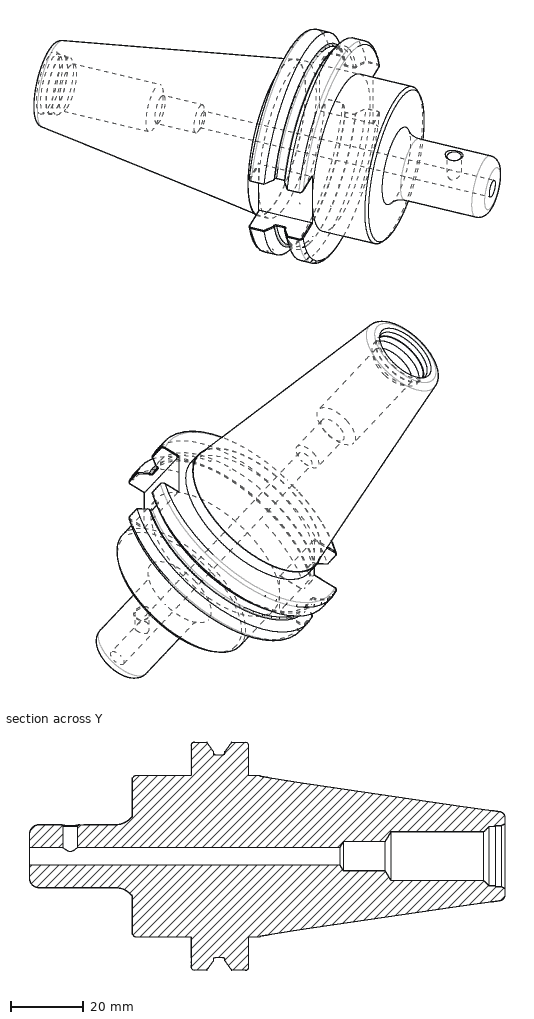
import cadquery as cq
import math

total_length = 131.8

taper_end_x = 67.9
taper_end_radius = 44.4 / 2
rim_round_x = 1.6
rim_outer_radius = 12.4
rim_face_radius = 10.7

flange_start_x = 71.0
flange_end_x = 87.0
flange_radius = 63.4 / 2
flange_edge_round = 0.9
groove_center_x = 79.2
groove_floor_width = 3.0
groove_mouth_width = 6.9
groove_floor_radius = 28.2
groove_floor_round = 0.4
groove_wall_radius = 29.0

collar_radius = 22.4
collar_end_x = 103.3
collar_chamfer = 0.8

pin_radius = 17.5 / 2
neck_end_x = 107.9
neck_arc_radius = 5.8
pin_end_round = 2.8

slot_width = 16.3
slot_edge_chamfer = 0.3
front_slot_floor = collar_radius
back_slot_floor = 24.8

countersunk_mouth_radius = 9.0
mouth_radius = 16.9 / 2
land_radius = 16.3 / 2
thread_radius = 13.5 / 2
drill_radius = 8.0 / 2
coolant_radius = 4.7 / 2
mouth_end_x = 1.0
mouth_bore_end_x = 2.6
land_end_x = 4.5
thread_end_x = 31.6
drill_end_x = 44.8
drill_point_angle = 118.0

pin_hole_x = 120.4
pin_hole_radius = 4.0 / 2
countersink_radius = 2.5


def arc_middle(center_x, center_r, radius, angle):
    """Point on a profile arc, at an angle in degrees measured from +X."""
    turn = math.radians(angle)
    return (center_x + radius * math.cos(turn), center_r + radius * math.sin(turn))


def turn_profile(profile):
    return profile.close().revolve(360, (0, 0, 0), (1, 0, 0))


def make_body():
    rim_arc_radius = rim_outer_radius - rim_face_radius
    rim_middle = arc_middle(rim_arc_radius, rim_face_radius, rim_arc_radius, 135)

    neck_center_r = pin_radius + neck_arc_radius
    neck_run = neck_end_x - collar_end_x
    neck_half_angle = math.degrees(math.asin(neck_run / neck_arc_radius)) / 2
    neck_start_r = neck_center_r - math.sqrt(neck_arc_radius**2 - neck_run**2)
    neck_middle = arc_middle(neck_end_x, neck_center_r, neck_arc_radius, 270 - neck_half_angle)

    round_start_x = total_length - pin_end_round
    pin_face_radius = pin_radius - pin_end_round
    pin_round_middle = arc_middle(round_start_x, pin_face_radius, pin_end_round, 45)

    profile = (
        cq.Workplane("XY")
        .moveTo(0, 0)
        .lineTo(0, rim_face_radius)
        .threePointArc(rim_middle, (rim_round_x, rim_outer_radius))
        .lineTo(taper_end_x, taper_end_radius)
        .lineTo(taper_end_x, collar_radius)
        .lineTo(collar_end_x - collar_chamfer, collar_radius)
        .lineTo(collar_end_x, collar_radius - collar_chamfer)
        .lineTo(collar_end_x, neck_start_r)
        .threePointArc(neck_middle, (neck_end_x, pin_radius))
        .lineTo(round_start_x, pin_radius)
        .threePointArc(pin_round_middle, (total_length, pin_face_radius))
        .lineTo(total_length, 0)
    )
    return turn_profile(profile)


def make_flange():
    disc = (
        cq.Workplane("YZ", origin=(flange_start_x, 0, 0))
        .circle(flange_radius)
        .extrude(flange_end_x - flange_start_x)
        .edges()
        .fillet(flange_edge_round)
    )
    floor_half = groove_floor_width / 2
    mouth_half = groove_mouth_width / 2
    round_top = groove_floor_radius + groove_floor_round
    left_round_x = groove_center_x - floor_half + groove_floor_round
    right_round_x = groove_center_x + floor_half - groove_floor_round
    left_round_middle = arc_middle(left_round_x, round_top, groove_floor_round, 225)
    right_round_middle = arc_middle(right_round_x, round_top, groove_floor_round, 315)
    groove = (
        cq.Workplane("XY")
        .moveTo(left_round_x, groove_floor_radius)
        .threePointArc(left_round_middle, (groove_center_x - floor_half, round_top))
        .lineTo(groove_center_x - floor_half, groove_wall_radius)
        .lineTo(groove_center_x - mouth_half, flange_radius)
        .lineTo(groove_center_x + mouth_half, flange_radius)
        .lineTo(groove_center_x + floor_half, groove_wall_radius)
        .lineTo(groove_center_x + floor_half, round_top)
        .threePointArc(right_round_middle, (right_round_x, groove_floor_radius))
    )
    return disc.cut(turn_profile(groove))


def make_drive_slot(floor_distance, side):
    """Slot cutter outside floor_distance, towards +Y (side = 1) or -Y (side = -1)."""
    depth = flange_radius - floor_distance
    middle_x = (flange_start_x + flange_end_x) / 2
    middle_y = side * (floor_distance + depth / 2)
    return (
        cq.Workplane("XY")
        .box(flange_end_x - flange_start_x, depth, slot_width)
        .translate((middle_x, middle_y, 0))
    )


def make_axial_bore():
    point_slope = math.tan(math.radians(drill_point_angle / 2))
    thread_tip = (thread_radius - drill_radius) / point_slope
    drill_tip = (drill_radius - coolant_radius) / point_slope
    land_cone = land_radius - thread_radius
    profile = (
        cq.Workplane("XY")
        .moveTo(0, 0)
        .lineTo(0, countersunk_mouth_radius)
        .lineTo(mouth_end_x, mouth_radius)
        .lineTo(mouth_bore_end_x, mouth_radius)
        .lineTo(mouth_bore_end_x, land_radius)
        .lineTo(land_end_x, land_radius)
        .lineTo(land_end_x + land_cone, thread_radius)
        .lineTo(thread_end_x, thread_radius)
        .lineTo(thread_end_x + thread_tip, drill_radius)
        .lineTo(drill_end_x, drill_radius)
        .lineTo(drill_end_x + drill_tip, coolant_radius)
        .lineTo(total_length, coolant_radius)
        .lineTo(total_length, 0)
    )
    return turn_profile(profile)


def make_pin_hole():
    """Radial hole from the top of the pin to the axis, with a 45 degree countersink."""
    sink_depth = countersink_radius - pin_hole_radius
    profile = (
        cq.Workplane("XZ")
        .moveTo(0, 0)
        .lineTo(pin_hole_radius, 0)
        .lineTo(pin_hole_radius, pin_radius - sink_depth)
        .lineTo(countersink_radius, pin_radius)
        .lineTo(0, pin_radius)
        .close()
    )
    return profile.revolve(360, (0, 0, 0), (0, 1, 0)).translate((pin_hole_x, 0, 0))


def make_slotted_flange():
    """Flange with both drive slots, its slot wall edges broken except along the slot floors."""
    flange = make_flange()
    flange = flange.cut(make_drive_slot(front_slot_floor, -1))
    flange = flange.cut(make_drive_slot(back_slot_floor, 1))
    walls = [
        face
        for face in flange.faces("|Z").vals()
        if math.isclose(abs(face.Center().z), slot_width / 2, abs_tol=0.0001)
    ]
    slot_floors = (front_slot_floor, back_slot_floor)
    edges = [
        edge
        for wall in walls
        for edge in wall.Edges()
        if not any(math.isclose(abs(edge.Center().y), floor, abs_tol=0.0001) for floor in slot_floors)
    ]
    return flange.newObject(edges).chamfer(slot_edge_chamfer)


result = make_body().union(make_slotted_flange())
result = result.cut(make_axial_bore())
result = result.cut(make_pin_hole())